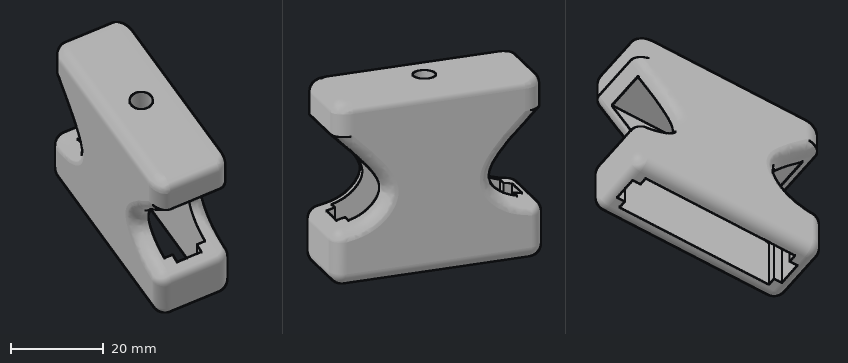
import cadquery as cq

base_half_length = 24.5
head_half_length = 24.15
depth = 18.0
height = 43.0
edge_radius = 3.0
head_corner_length = 4.25

waist_half_length = 12.4
waist_height = 20.15
lower_flank = (15.92, 15.3)
upper_flank = (15.2, 25.75)
base_shoulder_slope = 0.22
base_shoulder_height = 12.85
head_shoulder_height = 34.9
flare_rise = 12.25

wall = edge_radius
cavity_length = 2 * (base_half_length - wall)
cavity_width = 10.0
cavity_top = 32.45
post_size = 2.0
post_top = 14.05

hole_diameter = 5.0


def grip_points(side):
    """Points on the grip curve, from the base shoulder up to the head shoulder."""
    return [
        (side * base_half_length, base_shoulder_height),
        (side * lower_flank[0], lower_flank[1]),
        (side * waist_half_length, waist_height),
        (side * upper_flank[0], upper_flank[1]),
        (side * head_half_length, head_shoulder_height),
    ]


def make_grip_body():
    """Base and waist; the grip flanks run on past the head to be trimmed by it."""
    right = grip_points(1)
    left = grip_points(-1)[::-1]
    flare_half_length = head_half_length + flare_rise
    flare_height = head_shoulder_height + flare_rise
    profile = (
        cq.Workplane("XZ")
        .moveTo(-base_half_length, 0)
        .lineTo(base_half_length, 0)
        .lineTo(*right[0])
        .spline(right[1:], tangents=[(-1, base_shoulder_slope), (1, 1)], includeCurrent=True)
        .lineTo(flare_half_length, flare_height)
        .lineTo(-flare_half_length, flare_height)
        .lineTo(*left[0])
        .spline(left[1:], tangents=[(1, -1), (-1, -base_shoulder_slope)], includeCurrent=True)
        .close()
    )
    block = profile.extrude(depth / 2, both=True)
    return block.faces("not >Z").edges("not >Z").fillet(edge_radius)


def make_envelope():
    """Rounded block that shapes the head and leaves the base untouched."""
    base = cq.Workplane("XY").box(2 * base_half_length, depth, waist_height, centered=(True, True, False))
    front = depth / 2
    flat_x = head_half_length - head_corner_length
    flat_y = front - edge_radius
    plan = cq.Workplane("XY", origin=(0, 0, waist_height)).moveTo(flat_x, -front)
    corner = {"x_radius": head_corner_length, "y_radius": edge_radius, "sense": 1}
    plan = plan.ellipseArc(**corner, angle1=270, angle2=360).lineTo(head_half_length, flat_y)
    plan = plan.ellipseArc(**corner, angle1=0, angle2=90).lineTo(-flat_x, front)
    plan = plan.ellipseArc(**corner, angle1=90, angle2=180).lineTo(-head_half_length, -flat_y)
    plan = plan.ellipseArc(**corner, angle1=180, angle2=270).close()
    head = plan.extrude(height - waist_height).faces(">Z").edges().fillet(edge_radius)
    return base.union(head)


def make_cavity():
    cavity = cq.Workplane("XY").rect(cavity_length, cavity_width).extrude(cavity_top)
    posts = (
        cq.Workplane("XY")
        .rect(cavity_length - post_size, cavity_width - post_size, forConstruction=True)
        .vertices()
        .rect(post_size, post_size)
        .extrude(post_top)
    )
    return cavity.cut(posts)


hole = cq.Workplane("XY").circle(hole_diameter / 2).extrude(height)

body = make_grip_body().intersect(make_envelope())

result = body.cut(make_cavity()).cut(hole)